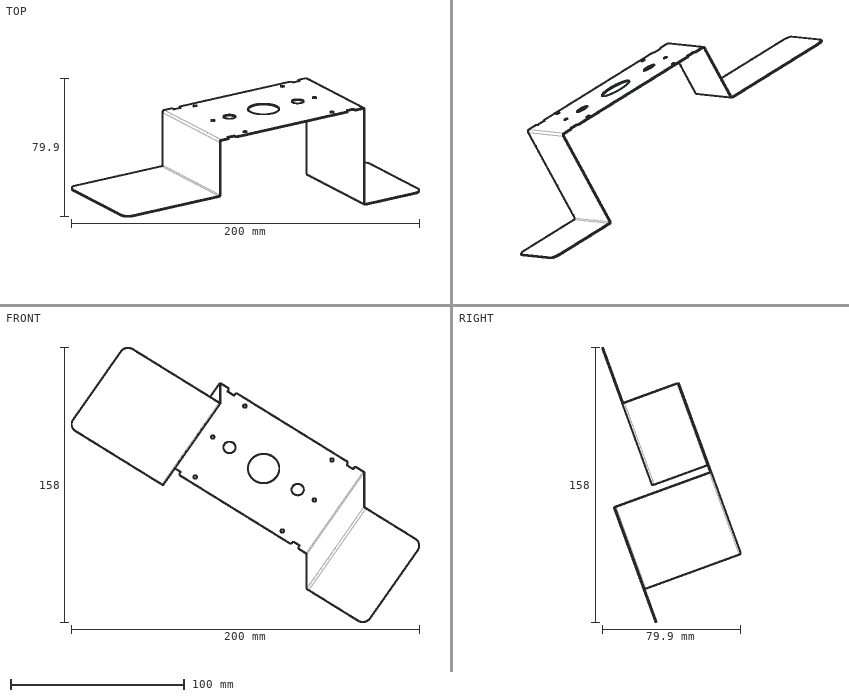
import cadquery as cq
import math

sheet_thickness = 0.7
bend_inner_radius = 0.6
bend_outer_radius = bend_inner_radius + sheet_thickness

plate_length = 100.0
strip_width = 60.0
short_leg_height = 34.75
long_leg_height = 59.8
long_foot_length = 64.8
short_foot_length = 39.8
foot_corner_radius = 5.0

center_hole_diameter = 18.0
side_hole_diameter = 7.0
side_hole_offset = 23.5
screw_hole_diameter = 2.0
end_screw_hole_offset = 35.0
corner_screw_hole_offset = (30.0, 26.0)

notch_width = 4.6
notch_mouth_radius = 1.0
notch_depth = 2.0
notch_offset = 41.0

lean_angle = 20.0
turn_angle = 33.35

half_length = plate_length / 2
half_width = strip_width / 2


def bent_strip():
    """Strip along local X with the plate's outer face at Z = 0 and the feet on the +Z side."""
    t = sheet_thickness
    left_tip = -half_length - long_foot_length
    right_tip = half_length + short_foot_length
    left_top = short_leg_height
    right_top = long_leg_height
    plate_outer = [(-half_length, 0), (half_length, 0)]
    plate_inner = [(-half_length + t, t), (half_length - t, t)]
    foot_near = [(-half_length, left_top - t), (half_length, right_top - t)]
    foot_far = [(-half_length + t, left_top), (half_length - t, right_top)]
    outline = [
        (left_tip, left_top - t), foot_near[0], plate_outer[0],
        plate_outer[1], foot_near[1], (right_tip, right_top - t),
        (right_tip, right_top), foot_far[1], plate_inner[1],
        plate_inner[0], foot_far[0], (left_tip, left_top),
    ]
    strip = cq.Workplane("XZ").polyline(outline).close().extrude(half_width, both=True)
    bend_radii = [
        (plate_inner + foot_near, bend_inner_radius),
        (plate_outer + foot_far, bend_outer_radius),
    ]
    for corners, radius in bend_radii:
        for x, z in corners:
            bend_edge = cq.selectors.NearestToPointSelector((x, 0, z))
            strip = strip.edges(bend_edge).fillet(radius)
    for tip_face in ("<X", ">X"):
        strip = strip.faces(tip_face).edges("|Z").fillet(foot_corner_radius)
    return strip


def four_points(x, y):
    """The point (x, y) and its mirror images about both centerlines of the plate."""
    return [(side_x * x, side_y * y) for side_x in (-1, 1) for side_y in (-1, 1)]


def plate_holes(points, diameter):
    return cq.Workplane("XY").pushPoints(points).circle(diameter / 2).extrude(sheet_thickness)


def cut_edge_notches(plate):
    """Cut a rectangular notch near each end of both long edges and round its mouth."""
    centers = four_points(notch_offset, half_width)
    notches = cq.Workplane("XY").pushPoints(centers).rect(notch_width, 2 * notch_depth)
    notches = notches.extrude(sheet_thickness)
    plate = plate.cut(notches)
    for center_x, edge_y in centers:
        for side in (-1, 1):
            mouth_corner = (center_x + side * notch_width / 2, edge_y, sheet_thickness / 2)
            mouth_edge = cq.selectors.NearestToPointSelector(mouth_corner)
            plate = plate.edges(mouth_edge).fillet(notch_mouth_radius)
    return plate


def bracket():
    corner_points = four_points(*corner_screw_hole_offset)
    end_points = [(-end_screw_hole_offset, 0), (end_screw_hole_offset, 0)]
    side_points = [(-side_hole_offset, 0), (side_hole_offset, 0)]
    plate = (
        bent_strip()
        .cut(plate_holes([(0, 0)], center_hole_diameter))
        .cut(plate_holes(side_points, side_hole_diameter))
        .cut(plate_holes(corner_points + end_points, screw_hole_diameter))
    )
    return cut_edge_notches(plate)


lean = math.radians(lean_angle)
turn = math.radians(turn_angle)
attitude = cq.Plane(
    origin=(0, 0, 0),
    xDir=(math.cos(turn), math.sin(turn) * math.sin(lean), -math.sin(turn) * math.cos(lean)),
    normal=(0, -math.cos(lean), -math.sin(lean)),
)
result = cq.Workplane("XY").newObject([bracket().val().moved(attitude.location)])